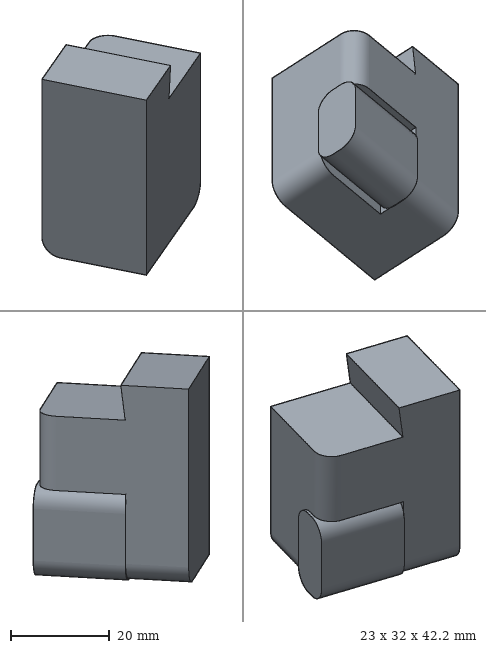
import cadquery as cq

block_width = 22.6
block_depth = 31.4
block_height = 42.0
corner_radius = 4.1

step_root_y = 13.1
step_lip_y = 14.0
shelf_z = 34.65

insert_width = 10.0
insert_length = 19.0
insert_height = 19.1
insert_radius = 4.05
insert_left_projection = 0.4
insert_rear_projection = 0.6
insert_bottom_projection = 0.22

insert_origin = (
    -insert_left_projection,
    block_depth + insert_rear_projection - insert_length,
    -insert_bottom_projection,
)


def make_insert_bar(rounded_edges):
    """Bar in the insert's place, with the selected lengthwise edges rounded."""
    bar = cq.Workplane("XY").box(insert_width, insert_length, insert_height, centered=False)
    bar = bar.edges(rounded_edges).fillet(insert_radius)
    return bar.translate(insert_origin)


def make_stepped_block():
    """Block with the rear step, rounded along its lower left and rear left edges."""
    side_profile = [
        (0, 0),
        (block_depth, 0),
        (block_depth, shelf_z),
        (step_root_y, shelf_z),
        (step_lip_y, block_height),
        (0, block_height),
    ]
    block = cq.Workplane("YZ").polyline(side_profile).close().extrude(block_width)
    block = block.edges("|Y and <X and <Z").fillet(corner_radius)
    return block.edges("|Z and <X and >Y").fillet(corner_radius)


insert = make_insert_bar("|Y")

pocket = make_insert_bar("|Y and >X and >Z")
block = make_stepped_block().cut(pocket)

result = cq.Compound.makeCompound([block.val(), insert.val()])